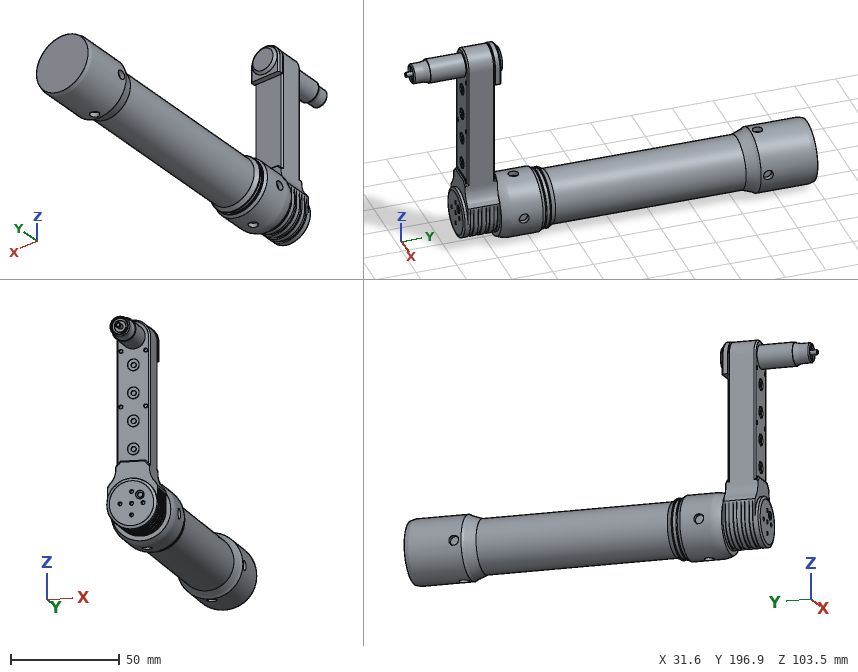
import cadquery as cq
import math


handle_length = 154.5
rear_radius = 15.8
rear_step_radius = 15.0
rear_chamfer_radius = 15.2
rear_chamfer_length = 2.4
rear_band_front = 126.6
rear_band_step = 1.4
rear_taper_end = 120.1
tube_radius = 13.2
tube_front = 26.8
neck_radius = 14.5
neck_rear = 24.5
neck_front = 21.5
collar_rear = 19.9
collar_radius = 15.5
collar_round_start = 5.1
collar_front_radius = 14.2
neck_groove_center = 23.0
neck_groove_width = 1.8
neck_groove_depth = 0.5
radial_hole_radius = 2.4
radial_hole_depth = 2.4
radial_hole_positions = (10.6, 130.2)

drum_radius = 12.0
drum_front = -15.8
flat_top = 8.3
shoulder_half_width = 10.8
shoulder_top = 10.0
neck_top = 16.7
plate_half_width = 6.0
plate_corner_height = 18.5
plate_top = 20.7
plate_edge_chamfer = 0.5
rib_groove_count = 4
rib_groove_first = -2.0
rib_groove_last = -13.5
rib_groove_pitch = (rib_groove_last - rib_groove_first) / (rib_groove_count - 1)
rib_groove_width = 1.8
rib_groove_depth = 0.8
rib_groove_floor_top = 4.1
rib_groove_top = 7.3

disc_front = -17.7
disc_face_radius = 10.6
disc_bevel_length = 0.5
disc_hole_radius = 0.89
disc_hole_circle = 5.5
disc_hole_depth = 2.0
disc_screw_position = (4.0, 4.0)
disc_screw_radius = 2.0

spindle_height = 79.4
arm_half_width = 8.0
arm_back = -1.0
arm_front = -14.5
arm_edge_chamfer = 0.8
arm_screw_first = 26.4
arm_screw_last = 66.2
arm_screw_count = 4
arm_screw_pitch = (arm_screw_last - arm_screw_first) / (arm_screw_count - 1)
arm_screw_radius = 2.8
screw_socket_radius = 1.2
screw_recess_depth = 0.5
screw_socket_depth = 1.2
pin_hole_x = 6.0
pin_hole_heights = (46.5, 72.9)
pin_hole_radius = 0.89
pin_hole_depth = 1.2

cap_back = 2.0
cap_radius = 8.3
cap_bottom = 70.5
cap_edge_chamfer = 0.8
button_back = 3.3
button_base_radius = 7.3
button_radius = 6.0

spindle_radius = 5.7
spindle_step = -31.7
taper_start_radius = 5.3
nose_radius = 4.7
nose_start = -34.5
nose_front = -39.5
nose_chamfer = 0.5
nose_recess_radius = 3.7
nose_recess_depth = 0.8
nose_bore_radius = 2.8
nose_bore_depth = 1.5
tip_front = handle_length - 196.9
tip_radius = 1.2
tip_chamfer = 0.4


def cylinder(x, z, radius, y_from, y_to):
    """Cylinder along Y between two Y positions."""
    return cq.Workplane(cq.Solid.makeCylinder(
        radius, abs(y_to - y_from), cq.Vector(x, min(y_from, y_to), z), cq.Vector(0, 1, 0)))


def ring(radius, center_y, width, depth):
    """Ring around the handle axis, used to cut a groove of the given depth."""
    outer = cylinder(0, 0, radius + depth, center_y - width / 2, center_y + width / 2)
    inner = cylinder(0, 0, radius - depth, center_y - width / 2, center_y + width / 2)
    return outer.cut(inner)


def cone(z, radius_from, radius_to, y_from, y_to):
    """Cone frustum along Y in the plane X = 0, from one Y position to the other."""
    direction = cq.Vector(0, math.copysign(1, y_to - y_from), 0)
    return cq.Workplane(cq.Solid.makeCone(
        radius_from, radius_to, abs(y_to - y_from), cq.Vector(0, y_from, z), direction))


def extrude_forward(outline, y_back, y_front):
    """Extrude an XZ outline, drawn on a plane facing -Y, from y_back forward to y_front."""
    return outline.extrude(y_back - y_front).translate((0, y_back, 0))


def make_handle():
    round_drop = collar_radius - collar_front_radius
    round_radius = (round_drop ** 2 + collar_round_start ** 2) / (2 * round_drop)
    half_angle = math.asin(collar_round_start / round_radius) / 2
    round_mid = (
        collar_radius - round_radius * (1 - math.cos(half_angle)),
        collar_round_start - round_radius * math.sin(half_angle),
    )
    body = (
        cq.Workplane("XY")
        .moveTo(0, 0)
        .lineTo(collar_front_radius, 0)
        .threePointArc(round_mid, (collar_radius, collar_round_start))
        .lineTo(collar_radius, collar_rear)
        .lineTo(neck_radius, neck_front)
        .lineTo(neck_radius, neck_rear)
        .lineTo(tube_radius, tube_front)
        .lineTo(tube_radius, rear_taper_end)
        .lineTo(rear_step_radius, rear_band_front - rear_band_step)
        .lineTo(rear_radius, rear_band_front)
        .lineTo(rear_radius, handle_length - rear_chamfer_length)
        .lineTo(rear_chamfer_radius, handle_length)
        .lineTo(0, handle_length)
        .close()
        .revolve(360, (0, 0, 0), (0, 1, 0))
    )
    body = body.cut(ring(neck_radius, neck_groove_center, neck_groove_width, neck_groove_depth))
    return cut_radial_holes(body)


def cut_radial_holes(body):
    """Four blind holes, a quarter turn apart, in each of the two thick bands."""
    floor = collar_radius - radial_hole_depth
    for hole_y in radial_hole_positions:
        hole = (
            cq.Workplane("XY", origin=(0, hole_y, floor))
            .circle(radial_hole_radius)
            .extrude(rear_radius)
        )
        for quarter in range(4):
            body = body.cut(hole.rotate((0, 0, 0), (0, 1, 0), 90 * quarter))
    return body


def drum_outline(plan):
    """Round below, flat sides, then shoulders that sweep in to the arm width."""
    sweep_x = shoulder_half_width - arm_half_width
    sweep_z = neck_top - shoulder_top
    sweep_radius = (sweep_x ** 2 + sweep_z ** 2) / (2 * sweep_x)
    half_angle = math.asin(sweep_z / sweep_radius) / 2
    mid_x = arm_half_width + sweep_radius * (1 - math.cos(half_angle))
    mid_z = neck_top - sweep_radius * math.sin(half_angle)
    return (
        plan.moveTo(-drum_radius, 0)
        .threePointArc((0, -drum_radius), (drum_radius, 0))
        .lineTo(drum_radius, flat_top)
        .lineTo(shoulder_half_width, shoulder_top)
        .threePointArc((mid_x, mid_z), (arm_half_width, neck_top))
        .lineTo(arm_half_width, plate_corner_height)
        .lineTo(plate_half_width, plate_top)
        .lineTo(-plate_half_width, plate_top)
        .lineTo(-arm_half_width, plate_corner_height)
        .lineTo(-arm_half_width, neck_top)
        .threePointArc((-mid_x, mid_z), (-shoulder_half_width, shoulder_top))
        .lineTo(-drum_radius, flat_top)
        .close()
    )


def rib_groove(center_y):
    """Cutter for one groove that runs round the drum and up both flat sides."""
    floor = drum_radius - rib_groove_depth
    front = center_y - rib_groove_width / 2
    back = center_y + rib_groove_width / 2
    kept = (
        cq.Workplane("XZ")
        .moveTo(-floor, 0)
        .threePointArc((0, -floor), (floor, 0))
        .lineTo(floor, rib_groove_floor_top)
        .lineTo(drum_radius, rib_groove_top)
        .lineTo(-drum_radius, rib_groove_top)
        .lineTo(-floor, rib_groove_floor_top)
        .close()
    )
    envelope_height = rib_groove_top + 2 * drum_radius
    envelope = (
        cq.Workplane("XZ")
        .center(0, rib_groove_top - envelope_height / 2)
        .rect(4 * drum_radius, envelope_height)
    )
    return extrude_forward(envelope, back, front).cut(extrude_forward(kept, back, front))


def make_drum():
    drum = extrude_forward(drum_outline(cq.Workplane("XZ")), 0, drum_front)
    top_edges = cq.selectors.BoxSelector(
        (-arm_half_width, 2 * drum_front, plate_corner_height),
        (arm_half_width, -drum_front, 2 * plate_top))
    drum = drum.faces("<Y or >Y").edges(top_edges).chamfer(plate_edge_chamfer)
    for index in range(rib_groove_count):
        drum = drum.cut(rib_groove(rib_groove_first + index * rib_groove_pitch))
    return drum


def make_disc():
    bevel_start = disc_front + disc_bevel_length
    rim = cylinder(0, 0, drum_radius, drum_front, bevel_start)
    disc = rim.union(cone(0, drum_radius, disc_face_radius, bevel_start, disc_front))
    hole_spots = [(0, 0)]
    for quarter in range(4):
        angle = math.radians(90 * quarter)
        hole_spots.append((disc_hole_circle * math.cos(angle), disc_hole_circle * math.sin(angle)))
    for x, z in hole_spots:
        disc = disc.cut(cylinder(x, z, disc_hole_radius, disc_front, disc_front + disc_hole_depth))
    return cut_screw(disc, *disc_screw_position, disc_screw_radius, disc_front)


def cut_screw(body, x, z, radius, face_y):
    """Shallow round recess with a deeper socket at its center."""
    body = body.cut(cylinder(x, z, radius, face_y, face_y + screw_recess_depth))
    return body.cut(cylinder(x, z, screw_socket_radius, face_y, face_y + screw_socket_depth))


def make_arm():
    outline = (
        cq.Workplane("XZ")
        .moveTo(-arm_half_width, 0)
        .lineTo(arm_half_width, 0)
        .lineTo(arm_half_width, spindle_height)
        .threePointArc((0, spindle_height + arm_half_width), (-arm_half_width, spindle_height))
        .close()
    )
    arm = extrude_forward(outline, arm_back, arm_front)
    arm = arm.faces("<Y or >Y").chamfer(arm_edge_chamfer)
    for index in range(arm_screw_count):
        height = arm_screw_first + index * arm_screw_pitch
        arm = cut_screw(arm, 0, height, arm_screw_radius, arm_front)
    for height in pin_hole_heights:
        for x in (-pin_hole_x, pin_hole_x):
            arm = arm.cut(cylinder(x, height, pin_hole_radius, arm_front, arm_front + pin_hole_depth))
    return arm


def make_cap():
    outline = (
        cq.Workplane("XZ")
        .moveTo(-cap_radius, cap_bottom)
        .lineTo(cap_radius, cap_bottom)
        .lineTo(cap_radius, spindle_height)
        .threePointArc((0, spindle_height + cap_radius), (-cap_radius, spindle_height))
        .close()
    )
    plate = extrude_forward(outline, cap_back, arm_back)
    plate = plate.faces(">Y").edges("%CIRCLE").chamfer(cap_edge_chamfer)
    button = cone(spindle_height, button_base_radius, button_radius, cap_back, button_back)
    return plate.union(button)


def make_spindle():
    barrel = cylinder(0, spindle_height, spindle_radius, arm_front, spindle_step)
    taper = cone(spindle_height, taper_start_radius, nose_radius, spindle_step, nose_start)
    nose = cylinder(0, spindle_height, nose_radius, nose_start, nose_front)
    nose = nose.faces("<Y").chamfer(nose_chamfer)
    spindle = barrel.union(taper).union(nose)

    bore_floor = nose_front + nose_bore_depth
    recess_floor = nose_front + nose_recess_depth
    spindle = spindle.cut(
        cylinder(0, spindle_height, nose_recess_radius, nose_front, recess_floor))
    spindle = spindle.cut(
        cylinder(0, spindle_height, nose_bore_radius, nose_front, bore_floor))

    tip = cylinder(0, spindle_height, tip_radius, bore_floor, tip_front)
    return spindle.union(tip.faces("<Y").chamfer(tip_chamfer))


def make_head():
    return (
        make_arm()
        .union(make_drum())
        .union(make_disc())
        .union(make_cap())
        .union(make_spindle())
    )


handle = make_handle()
head = make_head()
result = cq.Compound.makeCompound([handle.val(), head.val()])